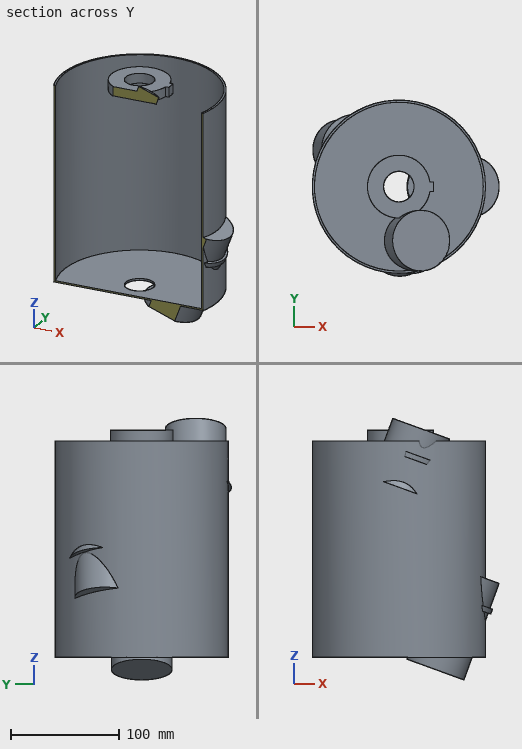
import cadquery as cq
import math

drum_diameter = 160.0
cavity_diameter = 156.0
drum_height = 200.0
floor_thickness = (drum_diameter - cavity_diameter) / 2

hub_diameter = 58.0
bore_diameter = 28.0
hub_rise = 10.0
key_reach = 32.0
key_width = 9.0

plug_count = 3
plug_diameter = 56.0
plug_length = 95.0
plug_tilt = 20.0
spiral_radius = 50.0
golden_angle = 180 * (3 - math.sqrt(5))
plug_spacing = drum_height / plug_count

collar_diameter = 61.0
collar_height = 4.8
collar_base = 18.1
barb_diameter = 66.0
barb_height = 10.0
barb_base = -10.5


def cylinder(diameter, height, base=0.0):
    """Upright cylinder on the Z axis, standing on the given height."""
    return cq.Workplane("XY").workplane(offset=base).circle(diameter / 2).extrude(height)


def make_plug():
    """Upright plug centred on the origin, with its collar and its upward-tapering barb."""
    body = cylinder(plug_diameter, plug_length, -plug_length / 2)
    collar = cylinder(collar_diameter, collar_height, collar_base)
    barb = cq.Workplane(
        cq.Solid.makeCone(
            barb_diameter / 2,
            plug_diameter / 2,
            barb_height,
            pnt=cq.Vector(0, 0, barb_base),
        )
    )
    return body.union(collar).union(barb)


def place_plug(index):
    """Tilt a plug toward +X and move it to its place on the spiral."""
    angle = math.radians(index * golden_angle)
    position = (
        spiral_radius * math.cos(angle),
        spiral_radius * math.sin(angle),
        (index + 0.5) * plug_spacing,
    )
    return make_plug().rotate((0, 0, 0), (0, 1, 0), plug_tilt).translate(position)


def make_hub():
    """Hub above the rim, with a key on its +X side."""
    key = (
        cq.Workplane("XY")
        .workplane(offset=drum_height)
        .rect(key_reach, key_width)
        .extrude(hub_rise)
        .translate((key_reach / 2, 0, 0))
    )
    return cylinder(hub_diameter, hub_rise, drum_height).union(key)


result = cylinder(drum_diameter, drum_height)
for index in range(plug_count):
    result = result.union(place_plug(index))
cavity = cylinder(cavity_diameter, drum_height - floor_thickness, floor_thickness)
result = result.cut(cavity).union(make_hub())

bore = cylinder(bore_diameter, drum_height + hub_rise)
result = result.cut(bore)